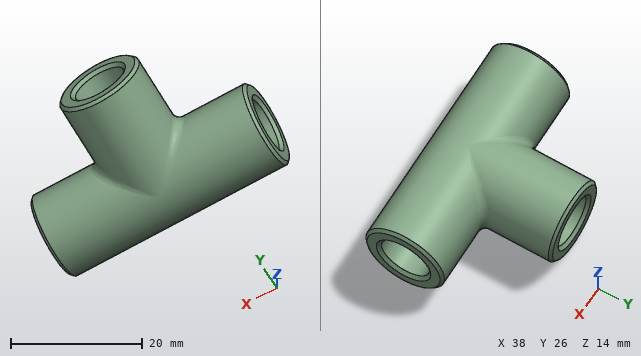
import cadquery as cq

run_length = 38.0
outer_diameter = 14.0
bore_diameter = 8.55
branch_length = 19.0
end_chamfer = 0.5
mouth_chamfer = 0.57
crotch_radius = 1.33
crotch_start = 0.05

outer_radius = outer_diameter / 2


def run_cylinder(diameter):
    return cq.Workplane("YZ").circle(diameter / 2).extrude(run_length / 2, both=True)


def branch_cylinder(diameter):
    return cq.Workplane("XZ").circle(diameter / 2).extrude(-branch_length)


run_outer = run_cylinder(outer_diameter).faces("<X or >X").chamfer(end_chamfer)
branch_outer = branch_cylinder(outer_diameter).faces(">Y").chamfer(end_chamfer)
body = run_outer.union(branch_outer)
crotch_edges = cq.selectors.BoxSelector(
    (-outer_radius, crotch_start, -outer_radius),
    (outer_radius, outer_radius, outer_radius),
)
body = body.edges(crotch_edges).fillet(crotch_radius)

body = body.cut(run_cylinder(bore_diameter)).cut(branch_cylinder(bore_diameter))

mouth_edges = body.faces("<X or >X or >Y").edges(cq.selectors.RadiusNthSelector(0))
result = mouth_edges.chamfer(mouth_chamfer)